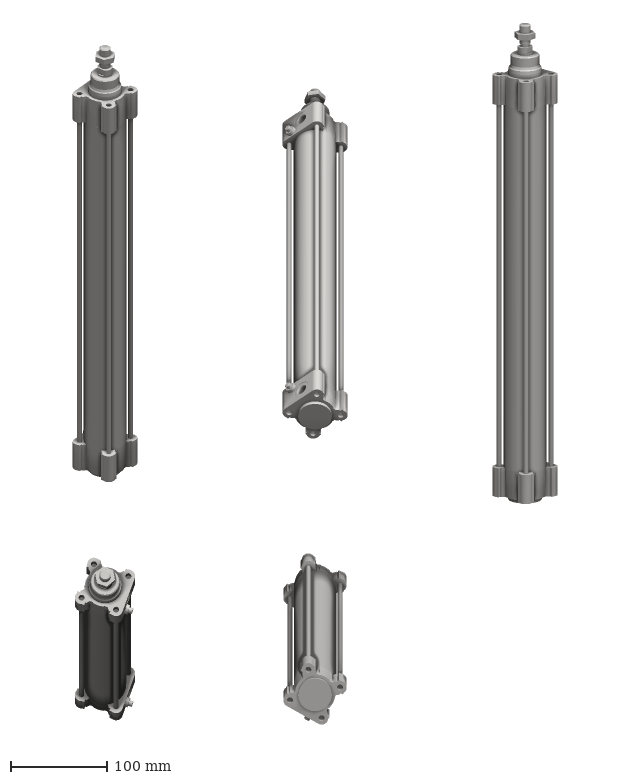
import cadquery as cq
import math

total_length = 513.0
spigot_height = 4.0
cover_height = 31.5
front_face_z = 459.0
rear_face_z = spigot_height
front_cover_z = front_face_z - cover_height
tube_start_z = rear_face_z + cover_height
tube_length = front_cover_z - tube_start_z

tube_diameter = 44.0
tie_rod_diameter = 5.0
tie_rod_offset = 19.0

cover_width = 52.0
cover_half = cover_width / 2
lug_radius = cover_half - tie_rod_offset
lug_flat_setback = 0.5
lug_flat = cover_half - lug_flat_setback
lug_flat_end = tie_rod_offset - math.sqrt(lug_radius**2 - (lug_flat - tie_rod_offset) ** 2)
lug_side = 14.0
web_shoulder = 22.5
web_outer = 12.5
web_inner = 10.0
recess_outer = 19.5
recess_inner = 21.0

pad_outer_radius = 21.0
pad_half_width = 6.0

mount_hole_diameter = 6.0
mount_hole_depth = 10.5

port_y = -3.85
port_from_face = 14.0
port_face_diameter = 19.0
port_face_depth = 0.5
port_diameter = 11.0
port_mouth_diameter = 12.0
port_depth = 10.5
screw_y = 9.0
screw_from_face = 24.5
screw_collar_diameter = 11.0
screw_collar_top_diameter = 10.0
screw_collar_height = 3.5
screw_head_diameter = 6.0
screw_head_chamfer = 0.5
screw_reach = 7.5

spigot_diameter = 35.0
shoulder_step_z = 467.0
shoulder_top_z = 468.0
shoulder_outer_diameter = 34.0
shoulder_inner_diameter = 32.0
neck_start_z = 470.5
neck_diameter = 30.0
neck_top_z = 481.0
neck_chamfer = 1.0

rod_diameter = 16.0
flat_width = 13.0
flat_bottom_z = 482.5
flat_top_z = 489.5
thread_start_z = 492.5
undercut_diameter = 10.0
thread_diameter = 12.0
thread_chamfer = 1.0

nut_across_flats = 19.0
nut_bottom_z = 498.0
nut_height = 6.0


def cylinder(diameter, bottom_z, top_z):
    """Upright cylinder on the main axis."""
    return cq.Workplane("XY").workplane(offset=bottom_z).circle(diameter / 2).extrude(top_z - bottom_z)


def tie_rod_points():
    return [(x, y) for x in (-tie_rod_offset, tie_rod_offset) for y in (-tie_rod_offset, tie_rod_offset)]


def half_frame():
    """The +Y half of the cover frame, inner face on the XY plane."""
    corner = tie_rod_offset + lug_radius / math.sqrt(2)
    return (
        cq.Workplane("XY")
        .moveTo(recess_outer, 0)
        .lineTo(recess_outer, web_inner)
        .lineTo(web_shoulder, web_outer)
        .lineTo(web_shoulder, lug_side)
        .lineTo(lug_flat, lug_side)
        .lineTo(lug_flat, lug_flat_end)
        .threePointArc((corner, corner), (lug_flat_end, lug_flat))
        .lineTo(lug_side, lug_flat)
        .lineTo(lug_side, web_shoulder)
        .lineTo(web_outer, web_shoulder)
        .lineTo(web_inner, recess_outer)
        .lineTo(-web_inner, recess_outer)
        .lineTo(-web_outer, web_shoulder)
        .lineTo(-lug_side, web_shoulder)
        .lineTo(-lug_side, lug_flat)
        .lineTo(-lug_flat_end, lug_flat)
        .threePointArc((-corner, corner), (-cover_half, tie_rod_offset))
        .lineTo(-cover_half, 0)
        .close()
        .extrude(cover_height)
    )


def make_recess_floors():
    """Drafted core whose flat sides are the floors of the recesses beside the pads."""
    draft = math.degrees(math.atan((recess_inner - recess_outer) / cover_height))
    core = cq.Workplane("XY").rect(2 * recess_inner, 2 * recess_inner).extrude(cover_height, taper=draft)
    return core.intersect(cylinder(tube_diameter, 0, cover_height))


def make_pads():
    """Middle pads on the +X, +Y and -Y sides, drafted towards the outer face."""
    pads = cq.Workplane(cq.Solid.makeCone(tube_diameter / 2, pad_outer_radius, cover_height))
    pad_width = 2 * pad_half_width
    y_strip = cq.Workplane("XY").rect(pad_width, tube_diameter).extrude(cover_height)
    x_strip = cq.Workplane("XY").rect(tube_diameter, pad_width).extrude(cover_height)
    return pads.intersect(y_strip.union(x_strip))


def side_plane(y, z, x):
    """Workplane on the -X side, facing outwards."""
    return cq.Workplane(cq.Plane(origin=(x, y, z), xDir=(0, -1, 0), normal=(-1, 0, 0)))


def make_port(z):
    """Cutter for the spot face, chamfered mouth and blind bore of an air port."""
    floor_x = -cover_half + port_face_depth
    mouth_depth = (port_mouth_diameter - port_diameter) / 2
    face = side_plane(port_y, z, floor_x).circle(port_face_diameter / 2).extrude(port_face_depth)
    bore = side_plane(port_y, z, floor_x).circle(port_diameter / 2).extrude(-port_depth)
    mouth = cq.Workplane(
        cq.Solid.makeCone(
            port_mouth_diameter / 2,
            port_diameter / 2,
            mouth_depth,
            cq.Vector(floor_x, port_y, z),
            cq.Vector(1, 0, 0),
        )
    )
    return face.union(bore).union(mouth)


def make_cushion_screw(z):
    """Tapered collar with a round screw head."""
    collar = cq.Workplane(
        cq.Solid.makeCone(
            screw_collar_diameter / 2,
            screw_collar_top_diameter / 2,
            screw_collar_height,
            cq.Vector(-cover_half, screw_y, z),
            cq.Vector(-1, 0, 0),
        )
    )
    head = side_plane(screw_y, z, -cover_half).circle(screw_head_diameter / 2).extrude(screw_reach)
    head = head.faces("<X").chamfer(screw_head_chamfer)
    return collar.union(head)


def make_cover():
    """End cover with its inner face on the XY plane and its outer face at the top."""
    frame = half_frame()
    cover = frame.union(frame.mirror("XZ"))
    cover = cover.union(make_recess_floors()).union(make_pads())
    mount_holes = (
        cq.Workplane("XY")
        .workplane(offset=cover_height - mount_hole_depth)
        .pushPoints(tie_rod_points())
        .circle(mount_hole_diameter / 2)
        .extrude(mount_hole_depth)
    )
    cover = cover.cut(mount_holes)
    cover = cover.cut(make_port(cover_height - port_from_face))
    return cover.union(make_cushion_screw(cover_height - screw_from_face))


def make_neck():
    """Front spigot, its tapered shoulder and the rod guide neck."""
    profile = [
        (0, front_face_z),
        (spigot_diameter / 2, front_face_z),
        (spigot_diameter / 2, front_face_z + spigot_height),
        (shoulder_outer_diameter / 2, shoulder_step_z),
        (shoulder_inner_diameter / 2, shoulder_top_z),
        (neck_diameter / 2, neck_start_z),
        (neck_diameter / 2, neck_top_z - neck_chamfer),
        (neck_diameter / 2 - neck_chamfer, neck_top_z),
        (0, neck_top_z),
    ]
    return cq.Workplane("XZ").polyline(profile).close().revolve(360, (0, 0, 0), (0, 1, 0))


def make_housing():
    """Both covers, tube, tie rods, spigots and neck, with the rod socket."""
    cover = make_cover()
    front_cover = cover.translate((0, 0, front_cover_z))
    rear_cover = cover.mirror("XY").translate((0, 0, tube_start_z))
    tie_rods = (
        cq.Workplane("XY")
        .workplane(offset=tube_start_z)
        .pushPoints(tie_rod_points())
        .circle(tie_rod_diameter / 2)
        .extrude(tube_length)
    )
    housing = cylinder(tube_diameter, tube_start_z, front_cover_z)
    housing = housing.union(front_cover).union(rear_cover).union(tie_rods)
    housing = housing.union(cylinder(spigot_diameter, 0, rear_face_z)).union(make_neck())
    return housing.cut(cylinder(rod_diameter, front_cover_z, neck_top_z))


def make_piston_rod():
    """Rod with wrench flats, undercut and threaded end."""
    rod = cylinder(rod_diameter, front_cover_z, flat_top_z)
    flats = (
        cq.Workplane("XY")
        .workplane(offset=flat_bottom_z)
        .rect(rod_diameter, flat_width)
        .extrude(flat_top_z - flat_bottom_z)
    )
    rod = rod.intersect(cylinder(rod_diameter, front_cover_z, flat_bottom_z).union(flats))
    thread = cylinder(thread_diameter, thread_start_z, total_length).faces(">Z").chamfer(thread_chamfer)
    return rod.union(cylinder(undercut_diameter, flat_top_z, thread_start_z)).union(thread)


def make_lock_nut():
    """Hexagon nut with two corners on the X axis."""
    across_corners = nut_across_flats / math.cos(math.pi / 6)
    return (
        cq.Workplane("XY")
        .workplane(offset=nut_bottom_z)
        .polygon(6, across_corners)
        .circle(thread_diameter / 2)
        .extrude(nut_height)
    )


housing = make_housing()
piston_rod = make_piston_rod()
lock_nut = make_lock_nut()

result = cq.Compound.makeCompound([housing.val(), piston_rod.val(), lock_nut.val()])